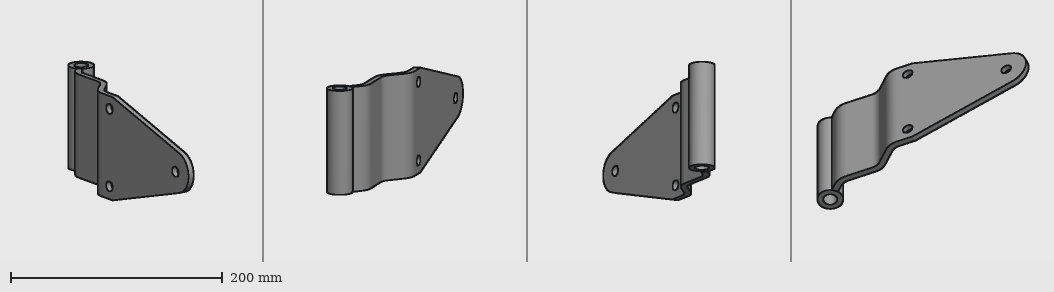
import cadquery as cq
import math

barrel_radius = 12.27
bore_diameter = 13.3
barrel_height = 100.7

strap_height = 101.6
thickness = 6.3
inner_bend_radius = 12.9
outer_bend_radius = inner_bend_radius + thickness
bend_angle = 45
overall_depth = 55.1
step_depth = 21.0
leaf_front = barrel_radius - overall_depth
middle_front = leaf_front + step_depth
second_bend_x = 58.6

taper_start_x = 104.2
end_radius = 20.5
overall_length = 233.6
end_center_x = overall_length - barrel_radius - end_radius

screw_diameter = 9.8
screw_x = 99.0
screw_z = 38.0


def make_barrel():
    return (
        cq.Workplane("XY", origin=(0, 0, -barrel_height / 2))
        .circle(barrel_radius)
        .circle(bore_diameter / 2)
        .extrude(barrel_height)
    )


def make_bent_sheet():
    """Bent plate of full height, starting on the barrel axis and ending at the round end."""
    slope = math.tan(math.radians(bend_angle))
    miter_shift = thickness * math.tan(math.radians(bend_angle / 2))
    half_slope_width = thickness / 2 / math.sin(math.radians(bend_angle))
    end_x = end_center_x + end_radius

    first_bend_x = -middle_front / slope - half_slope_width
    third_bend_x = second_bend_x + step_depth / slope
    front_corners = [
        (first_bend_x, middle_front),
        (second_bend_x, middle_front),
        (third_bend_x, leaf_front),
    ]
    back_corners = [(x + miter_shift, y + thickness) for x, y in front_corners]

    sheet = (
        cq.Workplane("XY", origin=(0, 0, -strap_height / 2))
        .polyline(
            [(-half_slope_width, 0)]
            + front_corners
            + [(end_x, leaf_front), (end_x, leaf_front + thickness)]
            + back_corners[::-1]
            + [(half_slope_width, 0)]
        )
        .close()
        .extrude(strap_height)
    )

    outer_corners = [front_corners[0], back_corners[1], front_corners[2]]
    inner_corners = [back_corners[0], front_corners[1], back_corners[2]]
    for corners, radius in ((outer_corners, outer_bend_radius), (inner_corners, inner_bend_radius)):
        for x, y in corners:
            edge = cq.selectors.NearestToPointSelector((x, y, 0))
            sheet = sheet.edges(edge).fillet(radius)
    return sheet


def make_leaf_outline():
    """Block with the outline of the strap in XZ: straight, then tapering to a tangent round end."""
    half_height = strap_height / 2
    taper_length = end_center_x - taper_start_x
    corner_distance = math.hypot(taper_length, half_height)
    tangent_angle = math.atan2(half_height, -taper_length) - math.acos(end_radius / corner_distance)
    tangent_x = end_center_x + end_radius * math.cos(tangent_angle)
    tangent_z = end_radius * math.sin(tangent_angle)
    return (
        cq.Workplane("XZ", origin=(0, barrel_radius, 0))
        .moveTo(-barrel_radius, half_height)
        .lineTo(taper_start_x, half_height)
        .lineTo(tangent_x, tangent_z)
        .threePointArc((end_center_x + end_radius, 0), (tangent_x, -tangent_z))
        .lineTo(taper_start_x, -half_height)
        .lineTo(-barrel_radius, -half_height)
        .close()
        .extrude(overall_depth)
    )


def make_screw_holes():
    return (
        cq.Workplane("XZ", origin=(0, leaf_front + thickness, 0))
        .pushPoints([(screw_x, screw_z), (screw_x, -screw_z), (end_center_x, 0)])
        .circle(screw_diameter / 2)
        .extrude(thickness)
    )


def make_strap():
    edge_trim = (
        cq.Workplane("XY")
        .rect(2 * barrel_radius, 2 * barrel_radius)
        .extrude(strap_height / 2, both=True)
        .rotate((0, 0, 0), (0, 0, 1), -bend_angle)
    )
    return (
        make_bent_sheet()
        .intersect(make_leaf_outline())
        .cut(edge_trim)
        .cut(make_screw_holes())
    )


barrel = make_barrel()
strap = make_strap()
result = cq.Compound.makeCompound([barrel.val(), *strap.solids().vals()])